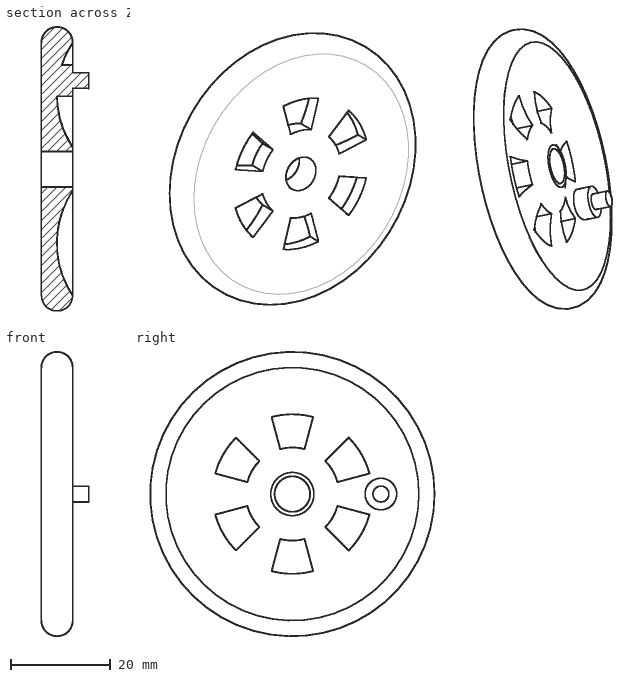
import cadquery as cq
import math

wheel_diameter = 57.15
wheel_thickness = 6.35
bore_diameter = 7.1

web_thickness = wheel_thickness / 2
hub_wall = 0.8

pin_diameter = 3.2
pin_length = 3.2
pin_offset = 17.75

boss_diameter = 6.35

window_count = 6
window_inner_radius = 9.35
window_outer_radius = 16.0
window_angle = 30.0

wheel_radius = wheel_diameter / 2
rim_radius = wheel_thickness / 2
face_radius = wheel_radius - rim_radius
hub_radius = bore_diameter / 2 + hub_wall
trough_radius = (hub_radius + face_radius) / 2


def make_wheel():
    """Revolve about X a profile with a rounded rim and a trough in its +X side."""
    profile = (
        cq.Workplane("XY")
        .lineTo(0, face_radius)
        .threePointArc((rim_radius, wheel_radius), (wheel_thickness, face_radius))
        .threePointArc((web_thickness, trough_radius), (wheel_thickness, hub_radius))
        .lineTo(wheel_thickness, 0)
        .close()
    )
    return profile.revolve(360, (0, 0), (1, 0))


def polar_point(radius, angle):
    """Return the point on the wheel face at an angle in degrees from +Y."""
    return radius * math.cos(math.radians(angle)), radius * math.sin(math.radians(angle))


def make_window(center_angle):
    """Make the cutter for one window: a ring sector with radial sides."""
    start = center_angle - window_angle / 2
    end = center_angle + window_angle / 2
    return (
        cq.Workplane("YZ")
        .moveTo(*polar_point(window_inner_radius, start))
        .lineTo(*polar_point(window_outer_radius, start))
        .threePointArc(
            polar_point(window_outer_radius, center_angle),
            polar_point(window_outer_radius, end),
        )
        .lineTo(*polar_point(window_inner_radius, end))
        .threePointArc(
            polar_point(window_inner_radius, center_angle),
            polar_point(window_inner_radius, start),
        )
        .close()
        .extrude(wheel_thickness)
    )


bore = cq.Workplane("YZ").circle(bore_diameter / 2).extrude(wheel_thickness)
wheel = make_wheel().cut(bore)

for index in range(window_count):
    wheel = wheel.cut(make_window(90 + index * 360 / window_count))

post_root = web_thickness / 2


def make_post(diameter, top):
    """Make a post at the pin position, ending at height top along X."""
    return (
        cq.Workplane("YZ", origin=(post_root, pin_offset, 0))
        .circle(diameter / 2)
        .extrude(top - post_root)
    )


boss = make_post(boss_diameter, wheel_thickness)
pin = make_post(pin_diameter, wheel_thickness + pin_length)

result = wheel.union(boss).union(pin)